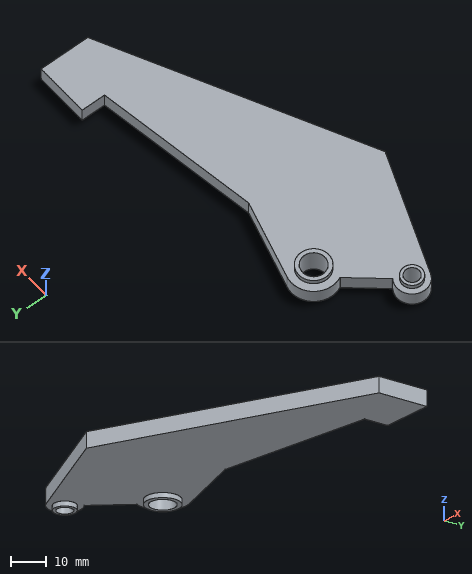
import cadquery as cq
import math

length = 125.5
width = 56.3
plate_thickness = 5.0
collar_height = 8.0

small_pivot = (0.0, 0.0)
small_boss_radius = 5.4
small_collar_diameter = 7.0
small_bore_diameter = 5.0

large_pivot = (20.1, 19.0)
large_boss_radius = 8.0
large_collar_diameter = 10.8
large_bore_diameter = 8.0

bottom_corner = (37.8, -21.3)
right_edge = length - small_boss_radius
top_edge = bottom_corner[1] + width
right_corner_y = 18.2
tip_left = 102.0
notch_y = 27.0
upper_bend = (48.5, 19.1)

edge_by_small_boss = (3.4, 4.4)
edge_by_large_boss = (12.8, 15.3)


def tangent_point(corner, center, radius, side):
    """Point where a line from corner touches a circle; side is +1 or -1 for the two tangents."""
    dx = corner[0] - center[0]
    dy = corner[1] - center[1]
    angle = math.atan2(dy, dx) + side * math.acos(radius / math.hypot(dx, dy))
    return (center[0] + radius * math.cos(angle), center[1] + radius * math.sin(angle))


def cylinder(center, diameter, height):
    """Upright cylinder centred on the mid-plane of the plate."""
    return cq.Workplane("XY").center(*center).circle(diameter / 2).extrude(height / 2, both=True)


outline = [
    small_pivot,
    tangent_point(bottom_corner, small_pivot, small_boss_radius, -1),
    bottom_corner,
    (right_edge, right_corner_y),
    (right_edge, top_edge),
    (tip_left, top_edge),
    (tip_left, notch_y),
    upper_bend,
    tangent_point(upper_bend, large_pivot, large_boss_radius, 1),
    large_pivot,
    edge_by_large_boss,
    edge_by_small_boss,
]
result = cq.Workplane("XY").polyline(outline).close().extrude(plate_thickness / 2, both=True)

pivots = [
    (small_pivot, small_boss_radius, small_collar_diameter, small_bore_diameter),
    (large_pivot, large_boss_radius, large_collar_diameter, large_bore_diameter),
]
for center, boss_radius, collar_diameter, bore_diameter in pivots:
    result = result.union(cylinder(center, 2 * boss_radius, plate_thickness))
    result = result.union(cylinder(center, collar_diameter, collar_height))
    result = result.cut(cylinder(center, bore_diameter, collar_height))